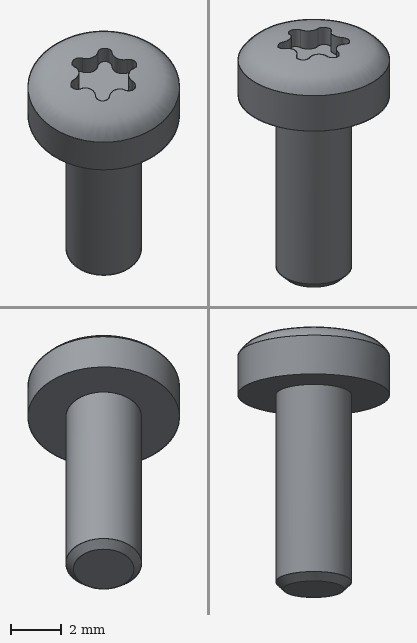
import cadquery as cq
import math

shank_diameter = 3.0
head_diameter = 6.0
shank_length = 8.01
head_band_height = 1.6
tip_chamfer = 0.3

crown_apex_height = 10.41
crown_flank_radius = 1.87
crown_flank_height = 10.25
crown_shoulder_radius = 2.63
crown_shoulder_height = 9.99
crown_rim_steepness = 1.4

lobe_count = 6
recess_tip_radius = 1.43
recess_valley_radius = 0.99
lobe_radius = 0.28
recess_floor_height = 9.55

shank_radius = shank_diameter / 2
head_radius = head_diameter / 2
band_top = shank_length + head_band_height


def screw_body():
    """Revolve the half profile of the shank and the domed head."""
    crown_points = [
        (0, crown_apex_height),
        (crown_flank_radius, crown_flank_height),
        (crown_shoulder_radius, crown_shoulder_height),
        (head_radius, band_top),
    ]
    level = (1, 0)
    rim_slope = (1, -crown_rim_steepness)
    profile = (
        cq.Workplane("XZ")
        .spline(crown_points, tangents=[level, rim_slope])
        .lineTo(head_radius, shank_length)
        .lineTo(shank_radius, shank_length)
        .lineTo(shank_radius, tip_chamfer)
        .lineTo(shank_radius - tip_chamfer, 0)
        .lineTo(0, 0)
        .close()
    )
    return profile.revolve(360, (0, 0, 0), (0, 1, 0))


def polar(radius, angle):
    """Point at a distance and an angle from the screw axis."""
    return (radius * math.cos(angle), radius * math.sin(angle))


def drive_recess():
    """Prism with six round lobes joined by tangent concave valleys."""
    half_pitch = math.pi / lobe_count
    lobe_center = recess_tip_radius - lobe_radius

    inset = recess_valley_radius - lobe_radius
    valley_center = (lobe_center**2 - inset**2) / (2 * (lobe_center * math.cos(half_pitch) - inset))
    valley_radius = valley_center - recess_valley_radius

    share = lobe_radius / (lobe_radius + valley_radius)
    along = lobe_center + share * (valley_center * math.cos(half_pitch) - lobe_center)
    across = share * valley_center * math.sin(half_pitch)
    join_radius = math.hypot(along, across)
    join_angle = math.atan2(across, along)

    first_lobe = math.pi / 2
    outline = cq.Workplane("XY", origin=(0, 0, recess_floor_height))
    outline = outline.moveTo(*polar(join_radius, first_lobe - join_angle))
    for index in range(lobe_count):
        lobe_angle = first_lobe + index * 2 * half_pitch
        next_lobe = lobe_angle + 2 * half_pitch
        outline = outline.threePointArc(
            polar(recess_tip_radius, lobe_angle),
            polar(join_radius, lobe_angle + join_angle),
        ).threePointArc(
            polar(recess_valley_radius, lobe_angle + half_pitch),
            polar(join_radius, next_lobe - join_angle),
        )
    return outline.close().extrude(crown_apex_height - recess_floor_height)


result = screw_body().cut(drive_recess())